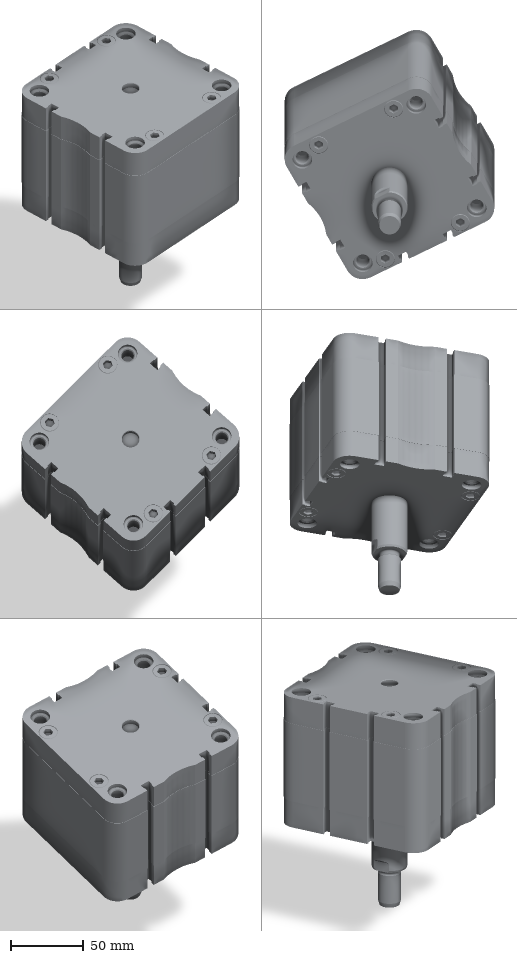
import cadquery as cq
import math


width = 113.5
corner_radius = 12.0
body_length = 97.0
cap_thickness = 19.5
cap_inset = 0.2

hollow_width = 27.0
hollow_depth = 2.5

slot_opening = 5.1
slot_chamber_width = 6.5
y_side_slot_offset = 24.9
y_side_slot_depth = 6.7
y_side_slot_lip = 3.3
x_side_slot_offset = 17.5
x_side_slot_depth = 5.7
x_side_slot_lip = 2.3

mount_pitch = 89.0
mount_counterbore_diameter = 13.5
mount_counterbore_depth = 3.2
mount_chamfer_diameter = 10.11
mount_hole_diameter = 8.57
mount_hole_depth = 16.0

screw_pitch_x = 98.0
screw_pitch_y = 58.6
screw_head_diameter = 13.1
screw_crown_diameter = 12.2
socket_across_flats = 6.0
socket_depth = 4.0

centre_hole_diameter = 12.0
centre_hole_mouth = 12.7
centre_hole_depth = 4.0

rod_diameter = 25.0
rod_projection = 40.0
rod_chamfer = 0.6
rod_chamfer_length = 1.5
flats_width = 22.0
flats_length = 7.1
stud_diameter = 16.0
stud_length = 28.0
stud_tip_diameter = 14.0
stud_tip_length = 3.2
undercut_diameter = 14.0
undercut_length = 4.0
undercut_fillet = 0.6

body_top = body_length / 2
body_bottom = -body_top
barrel_top = body_top - cap_thickness
barrel_bottom = -barrel_top
rod_shoulder = body_bottom - rod_projection
stud_end = rod_shoulder - stud_length

half_width = width / 2
corners = [(1, 1), (1, -1), (-1, 1), (-1, -1)]


def block(size_x, size_y, center_x, center_y, bottom, height):
    return cq.Workplane("XY", origin=(center_x, center_y, bottom)).rect(size_x, size_y).extrude(height)


def t_slot(offset, depth, lip, inset, bottom, height):
    """T-slot open to +Y at X = offset; the inset widens and shifts it along with the section."""
    floor = half_width - depth - inset
    chamber_top = half_width - lip + inset
    opening_width = slot_opening + 2 * inset
    chamber_width = slot_chamber_width + 2 * inset
    opening = block(opening_width, 2 * (half_width - floor), offset, half_width, bottom, height)
    chamber_middle = (floor + chamber_top) / 2
    chamber = block(chamber_width, chamber_top - floor, offset, chamber_middle, bottom, height)
    return opening.union(chamber)


def hollow(inset, bottom, height):
    """Cylinder that cuts the shallow hollow into the +Y side."""
    radius = ((hollow_width / 2) ** 2 + hollow_depth ** 2) / (2 * hollow_depth)
    center_y = half_width - hollow_depth + radius
    return cq.Workplane("XY", origin=(0, center_y, bottom)).circle(radius + inset).extrude(height)


def profile(inset, bottom, height):
    """Length of the cylinder section with its slots and hollows, set in all round by the inset."""
    side = width - 2 * inset
    body = block(side, side, 0, 0, bottom, height).edges("|Z").fillet(corner_radius - inset)
    for turn in (0, 180):
        cutters = [hollow(inset, bottom, height)]
        for sign in (1, -1):
            offset = sign * y_side_slot_offset
            cutters.append(t_slot(offset, y_side_slot_depth, y_side_slot_lip, inset, bottom, height))
        for cutter in cutters:
            body = body.cut(cutter.rotate((0, 0, 0), (0, 0, 1), turn))
    for sign in (1, -1):
        offset = sign * x_side_slot_offset
        cutter = t_slot(offset, x_side_slot_depth, x_side_slot_lip, inset, bottom, height)
        body = body.cut(cutter.rotate((0, 0, 0), (0, 0, 1), 90))
    return body


def mount_hole():
    """Counterbored hole with a chamfer below the counterbore, sunk from Z = 0."""
    chamfer = (mount_chamfer_diameter - mount_hole_diameter) / 2
    return (
        cq.Workplane("XZ")
        .moveTo(0, 0)
        .lineTo(mount_counterbore_diameter / 2, 0)
        .lineTo(mount_counterbore_diameter / 2, -mount_counterbore_depth)
        .lineTo(mount_chamfer_diameter / 2, -mount_counterbore_depth)
        .lineTo(mount_hole_diameter / 2, -mount_counterbore_depth - chamfer)
        .lineTo(mount_hole_diameter / 2, -mount_hole_depth)
        .lineTo(0, -mount_hole_depth)
        .close()
        .revolve(360, (0, 0, 0), (0, 1, 0))
    )


def screw_recess():
    """Groove left by the chamfered rim of a screw head and its hexagon socket, sunk from Z = 0."""
    crown_radius = screw_crown_diameter / 2
    head_radius = screw_head_diameter / 2
    rim_groove = (
        cq.Workplane("XZ")
        .moveTo(crown_radius, 0)
        .lineTo(head_radius, 0)
        .lineTo(head_radius, crown_radius - head_radius)
        .close()
        .revolve(360, (0, 0, 0), (0, 1, 0))
    )
    across_corners = socket_across_flats / math.cos(math.pi / 6)
    socket = cq.Workplane("XY").polygon(6, across_corners).extrude(-socket_depth)
    return rim_groove.union(socket.rotate((0, 0, 0), (0, 0, 1), 30))


def centre_hole():
    """Blind centring hole with a chamfered mouth, sunk from Z = 0."""
    chamfer = (centre_hole_mouth - centre_hole_diameter) / 2
    return (
        cq.Workplane("XZ")
        .moveTo(0, 0)
        .lineTo(centre_hole_mouth / 2, 0)
        .lineTo(centre_hole_diameter / 2, -chamfer)
        .lineTo(centre_hole_diameter / 2, -centre_hole_depth)
        .lineTo(0, -centre_hole_depth)
        .close()
        .revolve(360, (0, 0, 0), (0, 1, 0))
    )


def cut_end_face(cap):
    """Sink the mounting holes and screw recesses into the upper face of a cap."""
    for sign_x, sign_y in corners:
        hole_place = (sign_x * mount_pitch / 2, sign_y * mount_pitch / 2, body_top)
        screw_place = (sign_x * screw_pitch_x / 2, sign_y * screw_pitch_y / 2, body_top)
        cap = cap.cut(mount_hole().translate(hole_place))
        cap = cap.cut(screw_recess().translate(screw_place))
    return cap


def make_barrel():
    return profile(0, barrel_bottom, barrel_top - barrel_bottom)


def make_top_cap():
    cap = cut_end_face(profile(cap_inset, barrel_top, cap_thickness))
    return cap.cut(centre_hole().translate((0, 0, body_top)))


def make_bottom_cap():
    """The end face of the bottom cap mirrors that of the top cap, with a bore for the rod."""
    cap = cut_end_face(profile(cap_inset, barrel_top, cap_thickness)).mirror("XY")
    rod_bore = cq.Workplane("XY", origin=(0, 0, body_bottom)).circle(rod_diameter / 2).extrude(cap_thickness)
    return cap.cut(rod_bore)


def make_rod():
    """Piston rod, from the barrel end face down through the bottom cap to the threaded stud."""
    rod_radius = rod_diameter / 2
    stud_radius = stud_diameter / 2
    undercut_radius = undercut_diameter / 2
    undercut_end = rod_shoulder - undercut_length + stud_radius - undercut_radius
    groove_center = undercut_radius + undercut_fillet
    quarter_offset = undercut_fillet * math.cos(math.pi / 4)
    eighth_rise = undercut_fillet * math.tan(math.pi / 8)
    shoulder_center = rod_shoulder - undercut_fillet
    chamfer_center = undercut_end + eighth_rise
    chamfer_start = (groove_center - quarter_offset, chamfer_center - quarter_offset)
    eighth_middle = (
        groove_center - undercut_fillet * math.cos(math.pi / 8),
        chamfer_center - undercut_fillet * math.sin(math.pi / 8),
    )
    rod = (
        cq.Workplane("XZ")
        .moveTo(0, barrel_bottom)
        .lineTo(rod_radius, barrel_bottom)
        .lineTo(rod_radius, rod_shoulder + rod_chamfer_length)
        .lineTo(rod_radius - rod_chamfer, rod_shoulder)
        .lineTo(groove_center, rod_shoulder)
        .tangentArcPoint((undercut_radius, shoulder_center), relative=False)
        .lineTo(undercut_radius, chamfer_center)
        .threePointArc(eighth_middle, chamfer_start)
        .lineTo(stud_radius, rod_shoulder - undercut_length)
        .lineTo(stud_radius, stud_end + stud_tip_length)
        .lineTo(stud_tip_diameter / 2, stud_end)
        .lineTo(0, stud_end)
        .close()
        .revolve(360, (0, 0, 0), (0, 1, 0))
    )
    flat_depth = (rod_diameter - flats_width) / 2
    flat = (
        cq.Workplane("XZ")
        .moveTo(flats_width / 2, rod_shoulder)
        .lineTo(flats_width / 2, rod_shoulder + flats_length)
        .lineTo(rod_radius, rod_shoulder + flats_length + flat_depth)
        .lineTo(rod_radius, rod_shoulder)
        .close()
        .extrude(rod_radius, both=True)
    )
    return rod.cut(flat).cut(flat.mirror("YZ"))


barrel = make_barrel()
top_cap = make_top_cap()
bottom_cap = make_bottom_cap()
rod = make_rod()

result = cq.Compound.makeCompound([barrel.val(), top_cap.val(), bottom_cap.val(), rod.val()])